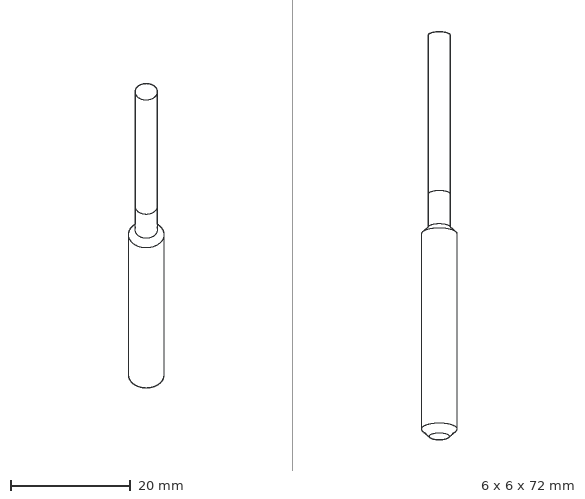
import cadquery as cq
import math

total_length = 72.0
shank_diameter = 6.0
cutter_diameter = 3.75
point_angle = 140.0
end_chamfer = 1.3
shoulder_base = 36.0
shoulder_height = 1.15
cutter_base = 43.05

shank_radius = shank_diameter / 2
cutter_radius = cutter_diameter / 2
shoulder_top = shoulder_base + shoulder_height
point_height = cutter_radius / math.tan(math.radians(point_angle / 2))
point_base = total_length - point_height


def revolve_profile(points):
    """Revolve a closed (radius, height) outline around the Z axis."""
    return cq.Workplane("XZ").polyline(points).close().revolve(360, (0, 0, 0), (0, 1, 0))


def make_shank():
    """Chamfered shank with a conical shoulder and a neck as wide as the cutter."""
    return revolve_profile([
        (0, 0),
        (shank_radius - end_chamfer, 0),
        (shank_radius, end_chamfer),
        (shank_radius, shoulder_base),
        (cutter_radius, shoulder_top),
        (cutter_radius, cutter_base),
        (0, cutter_base),
    ])


def make_cutter():
    """Cylindrical cutting section with a conical point, seated on the neck."""
    return revolve_profile([
        (0, cutter_base),
        (cutter_radius, cutter_base),
        (cutter_radius, point_base),
        (0, total_length),
    ])


shank = make_shank()
cutter = make_cutter()

result = cq.Compound.makeCompound([shank.val(), cutter.val()])